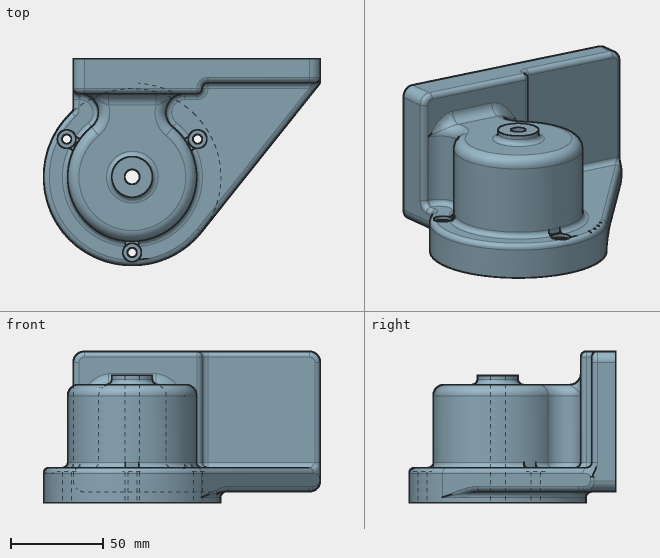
import cadquery as cq
import math

base_radius = 48.0
floor_z = 19.0

plate_left = -32.0
plate_right = 102.0
plate_back = 64.0
plate_bottom = 6.0
plate_top = 82.0
plate_corner = 6.0
thick_front = 45.0
thin_front = 51.0
step_x = 38.0

dome_radius = 35.0
dome_top = 64.0
dome_round = 6.0
neck_radius = 10.0

boss_diameter = 22.0
boss_top = 69.0
bore_diameter = 8.0

screw_circle_radius = 41.0
screw_diameter = 5.0
screw_head_diameter = 10.0
screw_head_depth = 2.0
screw_notch_width = 7.2
screw_angles = (30, 150, 270)

edge_round = 3.0

seam_z = (plate_bottom + plate_corner + floor_z - edge_round) / 2

corner_distance = math.hypot(plate_right, thin_front)
slant_angle = math.atan2(thin_front, plate_right) - math.acos(base_radius / corner_distance)
beyond = 2 * plate_right


def on_base_circle(p):
    """True for a point on the wall of the base."""
    return abs(math.hypot(p.x, p.y) - base_radius) < 0.2


def prism(outline, bottom, top):
    """Extrude a sketch lying on the XY plane between two heights."""
    return outline.extrude(top - bottom).translate((0, 0, bottom))


def edges_where(body, test):
    """Pick the edges of a body whose middle point passes the test."""
    return body.newObject([e for e in body.edges().vals() if test(e.positionAt(0.5))])


def near(a, b):
    """True for two practically equal coordinates."""
    return abs(a - b) < 0.02


def make_flange(bottom, top):
    """Flange ahead of the plate, ending on the ray from the axis to the slant's tangent point."""
    outline = (
        cq.Workplane("XY")
        .moveTo(0, 0)
        .lineTo(beyond * math.cos(slant_angle), beyond * math.sin(slant_angle))
        .lineTo(beyond, plate_back)
        .lineTo(plate_left, plate_back)
        .lineTo(plate_left, 0)
        .close()
    )
    return prism(outline, bottom, top)


def trim_slant(body):
    """Cut away everything past the slanted side and past the plate's right end."""
    past_slant = (
        cq.Workplane("XY")
        .box(beyond, 4 * beyond, beyond)
        .translate((base_radius + beyond / 2, 0, 0))
        .rotate((0, 0, 0), (0, 0, 1), math.degrees(slant_angle))
    )
    past_right = (
        cq.Workplane("XY")
        .box(beyond, 4 * beyond, beyond)
        .translate((plate_right + beyond / 2, 0, 0))
    )
    return body.cut(past_slant).cut(past_right)


def make_lower_half():
    """Round base with the underside of the flange blended into it."""
    base = cq.Workplane("XY").circle(base_radius).extrude(seam_z)
    flange = make_flange(plate_bottom, seam_z).edges("|Y and <X and <Z").fillet(plate_corner)
    body = flange.union(base)

    def is_blend(p):
        on_underside = near(p.z, plate_bottom) and math.atan2(p.y, p.x) > slant_angle
        on_left_side = p.x < plate_left + plate_corner and p.y > 0 and plate_bottom < p.z < seam_z
        return on_base_circle(p) and (on_underside or on_left_side)

    body = trim_slant(edges_where(body, is_blend).fillet(edge_round))
    body = body.edges("|Y").edges(">X").edges("<Z").fillet(plate_corner)

    def is_slant(p):
        return p.x > base_radius + plate_corner and p.y < thin_front - 1.5 and p.z < plate_bottom + edge_round

    return edges_where(body, is_slant).fillet(edge_round)


def make_plate():
    """Wall plate with sharp rims; its front steps back through two tangent arcs."""
    step_start = step_x - edge_round
    step_end = step_x + edge_round
    step_middle = (thin_front + thick_front) / 2
    return prism(
        cq.Workplane("XY")
        .moveTo(plate_left, plate_back)
        .lineTo(plate_right, plate_back)
        .lineTo(plate_right, thin_front)
        .lineTo(step_end, thin_front)
        .tangentArcPoint((step_x, step_middle), relative=False)
        .tangentArcPoint((step_start, thick_front), relative=False)
        .lineTo(plate_left, thick_front)
        .close(),
        plate_bottom,
        plate_top,
    )


def make_dome():
    """Domed housing whose neck flares in two arcs tangent to the plate's thick face."""
    flare_y = thick_front - neck_radius
    flare_x = math.sqrt((dome_radius + neck_radius) ** 2 - flare_y**2)
    share = dome_radius / (dome_radius + neck_radius)
    join_x = flare_x * share
    join_y = flare_y * share
    middle_angle = (math.pi / 2 + math.atan2(-flare_y, -flare_x) + 2 * math.pi) / 2
    middle_x = flare_x + neck_radius * math.cos(middle_angle)
    middle_y = flare_y + neck_radius * math.sin(middle_angle)
    dome = prism(
        cq.Workplane("XY")
        .moveTo(flare_x, thick_front)
        .threePointArc((middle_x, middle_y), (join_x, join_y))
        .threePointArc((0, -dome_radius), (-join_x, join_y))
        .threePointArc((-middle_x, middle_y), (-flare_x, thick_front))
        .lineTo(-flare_x, thin_front)
        .lineTo(flare_x, thin_front)
        .close(),
        seam_z,
        dome_top,
    )
    top_edges = edges_where(dome, lambda p: near(p.z, dome_top) and p.y < thick_front - 0.2)
    return top_edges.fillet(dome_round)


def is_floor_or_rim(p):
    """Edges around and inside the floor, and the free front edges of the plate."""
    on_front = p.z > floor_z and p.y < thin_front + 0.2
    on_top = p.z > plate_top - plate_corner
    on_side = near(p.x, plate_left) or near(p.x, plate_right)
    return near(p.z, floor_z) or (on_front and (on_top or on_side))


def is_neck_top(p):
    """Edges where the rounded top of the neck meets the plate's thick face."""
    on_neck = abs(p.x) < dome_radius - dome_round
    at_top = dome_top - 2 * dome_round < p.z < dome_top + 0.2
    return near(p.y, thick_front) and on_neck and at_top


def make_upper_half():
    """Floor, plate and domed housing with rounded rims and blended inner corners.

    It is built and rounded down to the plate's bottom, then cut off at the seam.
    """
    flange_outline = (
        cq.Workplane("XY")
        .moveTo(0, 0)
        .lineTo(base_radius * math.cos(slant_angle), base_radius * math.sin(slant_angle))
        .lineTo(plate_right, thin_front)
        .lineTo(plate_right, plate_back)
        .lineTo(plate_left, plate_back)
        .lineTo(plate_left, 0)
        .close()
    )
    envelope = (
        cq.Workplane("XY")
        .box(plate_right - plate_left, 2 * beyond, plate_top - plate_bottom)
        .edges("|Y")
        .fillet(plate_corner)
        .translate(((plate_left + plate_right) / 2, 0, (plate_bottom + plate_top) / 2))
    )
    base = prism(cq.Workplane("XY").circle(base_radius), plate_bottom, floor_z)
    flange = prism(flange_outline, plate_bottom, floor_z)
    body = flange.union(make_plate()).intersect(envelope).union(base).clean()
    left_corner = edges_where(
        body,
        lambda p: near(p.x, plate_left) and on_base_circle(p) and p.z < floor_z - 0.2,
    )
    body = left_corner.fillet(edge_round).union(make_dome())
    body = edges_where(body, is_floor_or_rim).fillet(edge_round)
    body = edges_where(body, is_neck_top).fillet(dome_round)
    below_seam = cq.Workplane("XY").box(2 * beyond, 2 * beyond, 2 * seam_z)
    return body.cut(below_seam)


def make_boss():
    """Boss on the dome, with a concave round at its foot."""
    radius = boss_diameter / 2
    profile = (
        cq.Workplane("XZ")
        .moveTo(0, dome_top - dome_round)
        .lineTo(radius + edge_round, dome_top - dome_round)
        .lineTo(radius + edge_round, dome_top)
        .radiusArc((radius, dome_top + edge_round), edge_round)
        .lineTo(radius, boss_top)
        .lineTo(0, boss_top)
        .close()
    )
    return profile.revolve(360, (0, 0, 0), (0, 1, 0))


def drill(body):
    """Cut the central bore and the counterbored screw holes."""
    body = body.cut(cq.Workplane("XY").circle(bore_diameter / 2).extrude(boss_top))
    dome_core = cq.Workplane("XY").circle(dome_radius).extrude(dome_top)
    for angle in screw_angles:
        x = screw_circle_radius * math.cos(math.radians(angle))
        y = screw_circle_radius * math.sin(math.radians(angle))
        hole = cq.Workplane("XY").circle(screw_diameter / 2).extrude(floor_z)
        head = prism(
            cq.Workplane("XY").circle(screw_head_diameter / 2),
            floor_z - screw_head_depth,
            floor_z + edge_round,
        )
        notch = (
            cq.Workplane("XY")
            .box(screw_circle_radius, screw_notch_width, edge_round, centered=(False, True, False))
            .translate((0, 0, floor_z))
            .cut(dome_core)
            .rotate((0, 0, 0), (0, 0, 1), angle)
        )
        body = body.cut(hole.union(head).translate((x, y, 0))).cut(notch)
    return body


result = make_lower_half().union(make_upper_half()).union(make_boss()).clean()
result = drill(result)